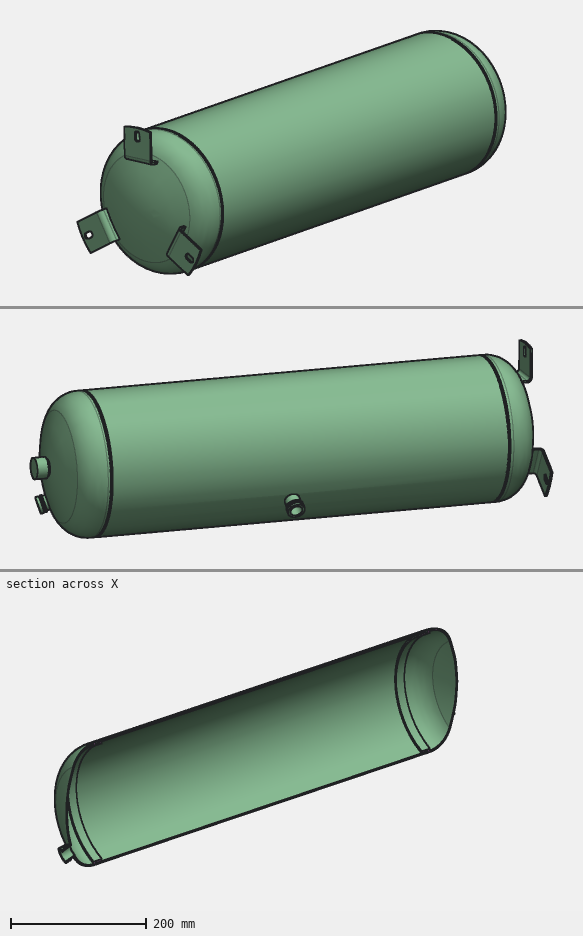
import cadquery as cq
import math


vessel_radius = 109.5
wall = 3.0
dome_radius = 205.0
knuckle_radius = 43.0
mid_y = 375.5
clocking = 1.2
shell_length = 620.0
weld_gap = 3.0
flange_length = 5.0
spigot_length = 8.0

end_port_tip_y = 771.0
end_port_radius = 16.0
end_port_head = 18.0
end_port_neck_radius = 13.0
small_port_radius = 13.0
small_port_neck_radius = 11.5
small_port_bore_radius = 9.0
small_port_head = 10.0
small_port_groove_depth = 1.5
small_port_groove_width = 2.0
small_port_groove_from_tip = 5.5
side_port_y = 399.5
side_port_angle = 210.0 + clocking
side_port_reach = 133.0
dome_port_angle = -57.0
dome_port_tilt = 22.2
dome_port_height = 15.0

foot_count = 3
foot_first_angle = -30.0 + clocking
foot_width = 50.0
foot_thickness = 3.0
foot_bend_radius = 5.0
foot_reach = 126.5
foot_leg_radius = 72.5
slot_centre = 113.0
slot_length = 16.0
slot_width = 9.0

shell_half = shell_length / 2
lip_height = shell_half + weld_gap
knuckle_height = lip_height + flange_length
knuckle_centre_radius = vessel_radius - knuckle_radius
dome_angle = math.asin(knuckle_centre_radius / (dome_radius - knuckle_radius))
dome_centre_height = knuckle_height - (dome_radius - knuckle_radius) * math.cos(dome_angle)
spigot_radius = vessel_radius - wall
spigot_height = shell_half - spigot_length


def polar_point(radius, angle, centre):
    """Point at an angle from the vessel axis, about a centre given as (radius, height)."""
    return (centre[0] + radius * math.sin(angle), centre[1] + radius * math.cos(angle))


def domed_solid(base_radius, base_height, inset):
    """Solid under the cap surface moved inwards by inset, from base_height to the apex."""
    knuckle = knuckle_radius - inset
    dome = dome_radius - inset
    knuckle_centre = (knuckle_centre_radius, knuckle_height)
    dome_centre = (0, dome_centre_height)
    knuckle_middle_angle = (dome_angle + math.pi / 2) / 2
    profile = (
        cq.Workplane("XY")
        .moveTo(0, base_height)
        .lineTo(base_radius, base_height)
        .lineTo(base_radius, knuckle_height)
        .threePointArc(
            polar_point(knuckle, knuckle_middle_angle, knuckle_centre),
            polar_point(knuckle, dome_angle, knuckle_centre),
        )
        .threePointArc(
            polar_point(dome, dome_angle / 2, dome_centre),
            polar_point(dome, 0, dome_centre),
        )
        .close()
    )
    return profile.revolve(360, (0, 0, 0), (0, 1, 0))


def ring(outer_radius, inner_radius, start, length):
    """Tube around the Y axis that starts at Y = start."""
    plane = cq.Plane(origin=(0, start, 0), xDir=(1, 0, 0), normal=(0, 1, 0))
    return cq.Workplane(plane).circle(outer_radius).circle(inner_radius).extrude(length)


def plain_cap():
    """Thin cap at the +Y end with its spigot, about the middle of the vessel."""
    outside = domed_solid(vessel_radius, lip_height, 0)
    inside = domed_solid(vessel_radius - wall, lip_height, wall)
    spigot = ring(spigot_radius, spigot_radius - wall, spigot_height, lip_height - spigot_height)
    lap = ring(vessel_radius, spigot_radius - wall, lip_height, flange_length)
    return outside.cut(inside).union(spigot).union(lap)


def add_small_port(body, base_point, direction, height):
    """Bored port with a thin neck and a wider, grooved head, standing on a wall at base_point."""
    plane = cq.Plane(origin=base_point, normal=direction)
    root = -wall / 2
    neck = cq.Workplane(plane).workplane(offset=root).circle(small_port_neck_radius).extrude(height - root)
    head = (
        cq.Workplane(plane)
        .workplane(offset=height - small_port_head)
        .circle(small_port_radius)
        .extrude(small_port_head)
    )
    groove = (
        cq.Workplane(plane)
        .workplane(offset=height - small_port_groove_from_tip - small_port_groove_width)
        .circle(small_port_radius)
        .circle(small_port_radius - small_port_groove_depth)
        .extrude(small_port_groove_width)
    )
    bore_start = -2 * wall
    bore = (
        cq.Workplane(plane)
        .workplane(offset=bore_start)
        .circle(small_port_bore_radius)
        .extrude(height - bore_start)
    )
    return body.union(neck).union(head.cut(groove)).cut(bore)


def make_shell():
    shell = ring(vessel_radius, vessel_radius - wall, mid_y - shell_half, shell_length)
    angle = math.radians(side_port_angle)
    direction = (math.cos(angle), 0, math.sin(angle))
    base_point = (vessel_radius * direction[0], side_port_y, vessel_radius * direction[2])
    return add_small_port(shell, base_point, direction, side_port_reach - vessel_radius)


def make_foot_cap():
    return plain_cap().mirror("XZ").translate((0, mid_y, 0))


def make_port_cap():
    cap = plain_cap().translate((0, mid_y, 0))

    head_y = end_port_tip_y - end_port_head
    root_y = mid_y + dome_centre_height + dome_radius - wall / 2
    plane = cq.Plane(origin=(0, root_y, 0), xDir=(1, 0, 0), normal=(0, 1, 0))
    neck = cq.Workplane(plane).circle(end_port_neck_radius).extrude(head_y - root_y)
    head = (
        cq.Workplane(plane)
        .workplane(offset=head_y - root_y)
        .circle(end_port_radius)
        .extrude(end_port_head)
    )
    cap = cap.union(neck).union(head)

    angle = math.radians(dome_port_angle)
    tilt = math.radians(dome_port_tilt)
    direction = (
        math.sin(tilt) * math.cos(angle),
        math.cos(tilt),
        math.sin(tilt) * math.sin(angle),
    )
    base_point = (
        dome_radius * direction[0],
        mid_y + dome_centre_height + dome_radius * direction[1],
        dome_radius * direction[2],
    )
    return add_small_port(cap, base_point, direction, dome_port_height)


def make_foot(angle):
    """Bent sheet foot whose plate points away from the vessel axis at the given angle."""
    outer_bend = foot_bend_radius + foot_thickness
    leg_outer = foot_leg_radius + foot_thickness
    leg_top = mid_y - dome_centre_height
    diagonal = math.sqrt(0.5)
    bend_radial = foot_leg_radius + outer_bend
    section = (
        cq.Workplane("XY", origin=(0, 0, -foot_width / 2))
        .moveTo(foot_reach, 0)
        .lineTo(bend_radial, 0)
        .threePointArc(
            (bend_radial - outer_bend * diagonal, outer_bend * (1 - diagonal)),
            (foot_leg_radius, outer_bend),
        )
        .lineTo(foot_leg_radius, leg_top)
        .lineTo(leg_outer, leg_top)
        .lineTo(leg_outer, outer_bend)
        .threePointArc(
            (bend_radial - foot_bend_radius * diagonal, outer_bend - foot_bend_radius * diagonal),
            (bend_radial, foot_thickness),
        )
        .lineTo(foot_reach, foot_thickness)
        .close()
        .extrude(foot_width)
    )
    edge = cq.Workplane("XZ").circle(foot_reach).extrude(-leg_top)
    vessel = domed_solid(vessel_radius, 0, 0).mirror("XZ").translate((0, mid_y, 0))
    slot = (
        cq.Workplane("XZ")
        .center(slot_centre, 0)
        .slot2D(slot_length, slot_width)
        .extrude(-foot_thickness)
    )
    foot = section.intersect(edge).cut(vessel).cut(slot)
    return foot.rotate((0, 0, 0), (0, -1, 0), angle)


shell = make_shell()
port_cap = make_port_cap()
foot_cap = make_foot_cap()
feet = [make_foot(foot_first_angle + i * 360 / foot_count) for i in range(foot_count)]

result = cq.Compound.makeCompound(
    [shell.val(), port_cap.val(), foot_cap.val(), *[foot.val() for foot in feet]]
)